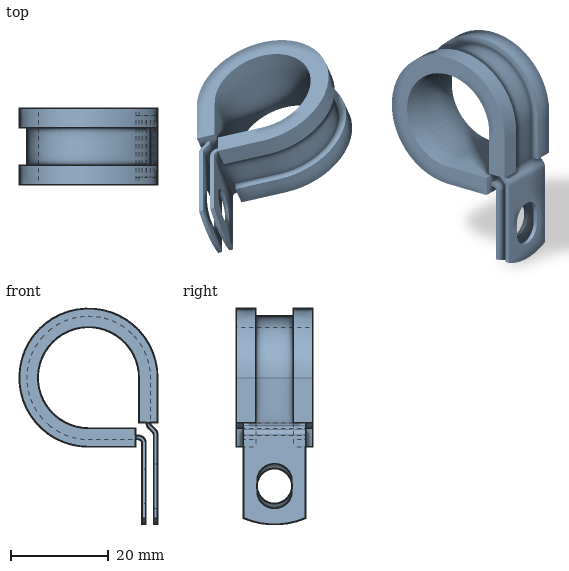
import cadquery as cq
import math

outer_radius = 14.18
bore_radius = 10.32
cushion_width = 15.75
groove_width = 7.6
band_outer_radius = 12.65
band_thickness = 0.82
upright_end_z = -9.2
level_end_x = 9.66
tab_width = 12.7
tab_gap = 1.58
bend_inner_radius = 0.8
jog_angle = math.radians(45)
hole_diameter = 7.14
slot_length = 9.1
hole_z = -22.19
tab_tip_z = -30.09
tip_arc_rise = 1.3
embedded_length = 1.0

band_inner_radius = band_outer_radius - band_thickness
bend_outer_radius = bend_inner_radius + band_thickness
inner_tab_outer_x = outer_radius - band_thickness - tab_gap
jog_offset = outer_radius - band_outer_radius


def side_profile(width):
    """XZ workplane placed so that extruding by width centres the body on Y = 0."""
    return cq.Workplane("XZ", origin=(0, width / 2, 0))


def loop_body(inner, outer, width):
    """Three-quarter ring with an upright leg at +X and a level leg at -Z."""
    inner_diagonal = inner * math.sqrt(0.5)
    outer_diagonal = outer * math.sqrt(0.5)
    return (
        side_profile(width)
        .moveTo(outer, upright_end_z)
        .lineTo(outer, 0)
        .threePointArc((-outer_diagonal, outer_diagonal), (0, -outer))
        .lineTo(level_end_x, -outer)
        .lineTo(level_end_x, -inner)
        .lineTo(0, -inner)
        .threePointArc((-inner_diagonal, inner_diagonal), (inner, 0))
        .lineTo(inner, upright_end_z)
        .close()
        .extrude(width)
    )


def cushion():
    """Cushion loop with the band groove open along its outside."""
    body = loop_body(bore_radius, outer_radius, cushion_width)
    groove = loop_body(band_outer_radius, outer_radius, groove_width)
    return body.cut(groove)


def inner_tab():
    """Band leaving the level leg and turning straight down."""
    inner_face_x = inner_tab_outer_x - band_thickness
    bend_x = inner_tab_outer_x - bend_outer_radius
    bend_z = -band_inner_radius - bend_outer_radius
    start_x = level_end_x - embedded_length
    return (
        side_profile(tab_width)
        .moveTo(start_x, -band_inner_radius)
        .lineTo(bend_x, -band_inner_radius)
        .radiusArc((inner_tab_outer_x, bend_z), bend_outer_radius)
        .lineTo(inner_tab_outer_x, tab_tip_z)
        .lineTo(inner_face_x, tab_tip_z)
        .lineTo(inner_face_x, bend_z)
        .radiusArc((bend_x, -band_outer_radius), -bend_inner_radius)
        .lineTo(start_x, -band_outer_radius)
        .close()
        .extrude(tab_width)
    )


def outer_tab():
    """Band leaving the upright leg, jogging outward and running straight down."""
    turn_shift = 1 - math.cos(jog_angle)
    turn_drop = math.sin(jog_angle)
    both_bends = bend_inner_radius + bend_outer_radius
    slope_drop = (jog_offset - both_bends * turn_shift) / math.tan(jog_angle)
    lower_bend_z = upright_end_z - both_bends * turn_drop - slope_drop
    start_z = upright_end_z + embedded_length
    inner_face_x = outer_radius - band_thickness

    def upper_turn(face_x, radius):
        return (face_x + radius * turn_shift, upright_end_z - radius * turn_drop)

    def lower_turn(face_x, radius):
        return (face_x - radius * turn_shift, lower_bend_z + radius * turn_drop)

    return (
        side_profile(tab_width)
        .moveTo(band_outer_radius, start_z)
        .lineTo(band_outer_radius, upright_end_z)
        .radiusArc(upper_turn(band_outer_radius, bend_inner_radius), -bend_inner_radius)
        .lineTo(*lower_turn(outer_radius, bend_outer_radius))
        .radiusArc((outer_radius, lower_bend_z), bend_outer_radius)
        .lineTo(outer_radius, tab_tip_z)
        .lineTo(inner_face_x, tab_tip_z)
        .lineTo(inner_face_x, lower_bend_z)
        .radiusArc(lower_turn(inner_face_x, bend_inner_radius), -bend_inner_radius)
        .lineTo(*upper_turn(band_inner_radius, bend_outer_radius))
        .radiusArc((band_inner_radius, upright_end_z), bend_outer_radius)
        .lineTo(band_inner_radius, start_z)
        .close()
        .extrude(tab_width)
    )


def tab_outline():
    """Block along X whose YZ section is the tab face with its rounded lower end."""
    half_width = tab_width / 2
    corner_z = tab_tip_z + tip_arc_rise
    return (
        cq.Workplane("YZ")
        .moveTo(-half_width, 0)
        .lineTo(-half_width, corner_z)
        .threePointArc((0, tab_tip_z), (half_width, corner_z))
        .lineTo(half_width, 0)
        .close()
        .extrude(outer_radius)
    )


def bolt_hole():
    """Round cutter for the inner tab."""
    return cq.Workplane("YZ").center(0, hole_z).circle(hole_diameter / 2).extrude(outer_radius)


def bolt_slot():
    """Upright slot cutter for the outer tab, centred on the bolt hole."""
    return (
        cq.Workplane("YZ")
        .center(0, hole_z)
        .slot2D(slot_length, hole_diameter, angle=90)
        .extrude(outer_radius)
    )


inner_leaf = inner_tab().intersect(tab_outline()).cut(bolt_hole())
outer_leaf = outer_tab().intersect(tab_outline()).cut(bolt_slot())
result = cushion().union(inner_leaf).union(outer_leaf)